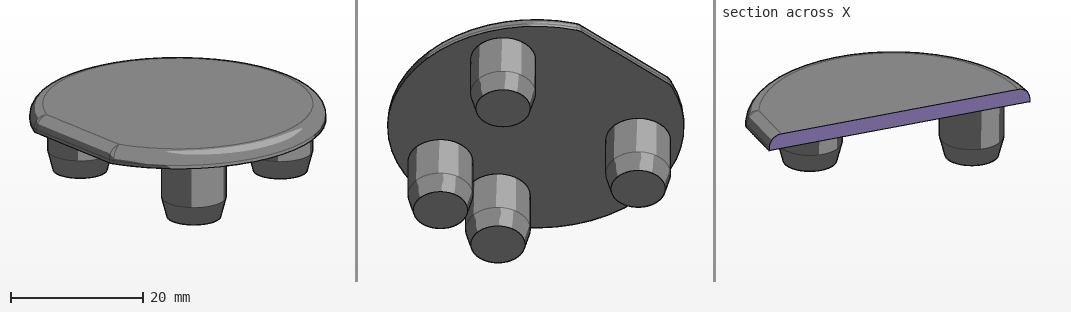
import cadquery as cq

disc_diameter = 44.85
flat_distance = 20.5
plate_thickness = 2.5
rim_radius = 1.97
corner_radius = 1.97

pin_diameter = 9.8
pin_tip_diameter = 8.2
pin_length = 10.0
pin_taper_length = 3.1
front_pin_x = 13.6
front_pin_y = -8.0
rear_pin_x = 5.8
rear_pin_y = 15.3


def make_plate():
    """Disc cut by a flat, with rounded corners and a rounded upper edge."""
    disc = cq.Workplane("XY").circle(disc_diameter / 2).extrude(plate_thickness)
    trim = cq.Workplane("XY").box(
        disc_diameter,
        disc_diameter,
        plate_thickness,
        centered=(True, False, False),
    ).translate((0, -flat_distance, 0))
    plate = disc.intersect(trim)
    flat_corners = plate.faces("<Y").edges("|Z")
    plate = flat_corners.fillet(corner_radius)
    return plate.faces(">Z").edges().fillet(rim_radius)


def make_pin(x, y):
    """Round pin hanging below the plate, with a tapered tip."""
    radius = pin_diameter / 2
    tip_radius = pin_tip_diameter / 2
    profile = (
        cq.Workplane("XZ")
        .moveTo(0, 0)
        .lineTo(radius, 0)
        .lineTo(radius, pin_taper_length - pin_length)
        .lineTo(tip_radius, -pin_length)
        .lineTo(0, -pin_length)
        .close()
    )
    return profile.revolve(360, (0, 0, 0), (0, 1, 0)).translate((x, y, 0))


result = make_plate()
for side in (-1, 1):
    result = result.union(make_pin(side * front_pin_x, front_pin_y))
    result = result.union(make_pin(side * rear_pin_x, rear_pin_y))